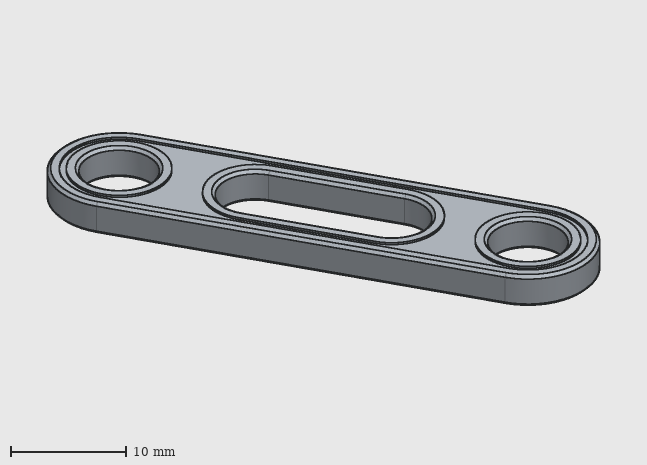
import cadquery as cq

length = 50.0
width = 12.5
thickness = width / 4
edge_chamfer = 0.3

hole_diameter = 7.0
hole_spacing = 37.5
slot_length = 19.5
slot_width = hole_diameter

rim_width = 1.05
land_diameter = 9.2
land_width = (land_diameter - hole_diameter) / 2
recess_depth = 0.2

hole_centers = [(-hole_spacing / 2, 0), (hole_spacing / 2, 0)]


def rounded_bar(bar_length, bar_width, bottom, height):
    """Solid with straight sides and full-round ends along X."""
    return cq.Workplane("XY").workplane(offset=bottom).slot2D(bar_length, bar_width).extrude(height)


def hole_posts(diameter, bottom, height):
    """One cylinder at each hole centre."""
    return (
        cq.Workplane("XY")
        .workplane(offset=bottom)
        .pushPoints(hole_centers)
        .circle(diameter / 2)
        .extrude(height)
    )


def make_plate():
    """Plate with the holes and the slot, chamfered on every top and bottom edge."""
    plate = rounded_bar(length, width, 0, thickness)
    plate = plate.cut(rounded_bar(slot_length, slot_width, 0, thickness))
    plate = plate.cut(hole_posts(hole_diameter, 0, thickness))
    return plate.faces("<Z or >Z").edges().chamfer(edge_chamfer)


def make_recess():
    """Material removed from the top face between the rim and the lands."""
    floor = thickness - recess_depth
    slot_land_length = slot_length + 2 * land_width
    pocket = rounded_bar(length - 2 * rim_width, width - 2 * rim_width, floor, recess_depth)
    pocket = pocket.cut(rounded_bar(slot_land_length, land_diameter, floor, recess_depth))
    return pocket.cut(hole_posts(land_diameter, floor, recess_depth))


result = make_plate().cut(make_recess())